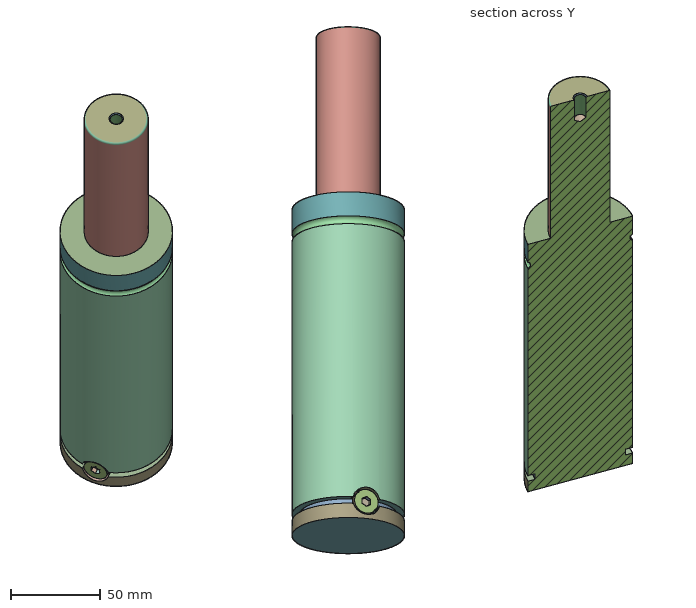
import cadquery as cq
import math

HEX_SIDES = 6

body_diameter = 63.0
rod_diameter = 36.0
total_height = 295.0
rod_length = 102.5
body_height = total_height - rod_length
body_radius = body_diameter / 2
rod_radius = rod_diameter / 2
rod_edge_radius = 1.0

foot_height = 8.5
foot_groove_width = 4.0
foot_groove_diameter = 54.5

top_groove_radius = 2.5
top_groove_below_shoulder = 16.5
top_groove_depth = 1.5

rod_hole_diameter = 6.8
rod_hole_mouth_diameter = 8.0
rod_hole_depth = 16.0
drill_tip_angle = 118.0

pocket_diameter = 16.0
plug_diameter = 14.0
plug_length = 4.0
plug_height = foot_height + foot_groove_width / 2
socket_width = 5.0
socket_depth = 3.0
plug_face_offset = math.sqrt(body_radius**2 - (pocket_diameter / 2) ** 2)


def make_body_and_rod():
    """Cylinder body with a thinner rod standing on its top face."""
    body = cq.Workplane("XY").circle(body_radius).extrude(body_height)
    rod = (
        cq.Workplane("XY", origin=(0, 0, body_height))
        .circle(rod_radius)
        .extrude(rod_length)
        .faces(">Z")
        .fillet(rod_edge_radius)
    )
    return body.union(rod)


def make_foot_groove():
    """Ring cutter for the square groove above the foot."""
    return (
        cq.Workplane("XY", origin=(0, 0, foot_height))
        .circle(body_radius)
        .circle(foot_groove_diameter / 2)
        .extrude(foot_groove_width)
    )


def make_top_groove():
    """Torus cutter for the round groove below the shoulder."""
    ring_radius = body_radius - top_groove_depth + top_groove_radius
    groove_height = body_height - top_groove_below_shoulder
    return (
        cq.Workplane("XZ")
        .center(ring_radius, groove_height)
        .circle(top_groove_radius)
        .revolve(360, (-ring_radius, 0, 0), (-ring_radius, 1, 0))
    )


def make_rod_hole():
    """Blind drilled hole with a countersunk mouth and a conical tip."""
    hole_radius = rod_hole_diameter / 2
    mouth_radius = rod_hole_mouth_diameter / 2
    mouth_bottom = total_height - (mouth_radius - hole_radius)
    hole_bottom = total_height - rod_hole_depth
    tip_bottom = hole_bottom - hole_radius / math.tan(math.radians(drill_tip_angle / 2))
    return (
        cq.Workplane("XZ")
        .moveTo(0, total_height)
        .lineTo(mouth_radius, total_height)
        .lineTo(hole_radius, mouth_bottom)
        .lineTo(hole_radius, hole_bottom)
        .lineTo(0, tip_bottom)
        .close()
        .revolve(360, (0, 0, 0), (0, 1, 0))
    )


def plug_cylinder(diameter, start, length):
    """Cylinder on the plug axis, from distance start inward by length."""
    return (
        cq.Workplane("XZ", origin=(0, -start, plug_height))
        .circle(diameter / 2)
        .extrude(-length)
    )


def make_hex_socket():
    """Hexagon cutter in the plug face, with one corner pointing straight up."""
    corner_diameter = socket_width / math.cos(math.pi / HEX_SIDES)
    return (
        cq.Workplane("XZ", origin=(0, -plug_face_offset, plug_height))
        .transformed(rotate=(0, 0, 90))
        .polygon(HEX_SIDES, corner_diameter)
        .extrude(-socket_depth)
    )


def add_plug(part):
    """Leave the plug standing in a round pocket, with a narrow ring gap around it."""
    pocket_depth = plug_length + body_radius - plug_face_offset
    pocket = plug_cylinder(pocket_diameter, body_radius, pocket_depth)
    plug = plug_cylinder(plug_diameter, plug_face_offset, plug_length)
    return part.cut(pocket).union(plug).cut(make_hex_socket())


result = make_body_and_rod()
result = result.cut(make_foot_groove())
result = result.cut(make_top_groove())
result = result.cut(make_rod_hole())
result = add_plug(result)